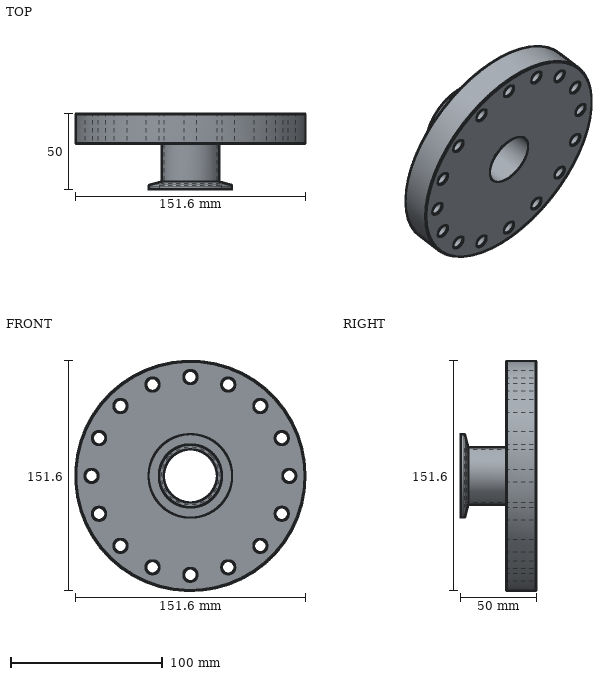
import cadquery as cq
import math

overall_length = 50.0
clamp_face_y = -overall_length / 2
bolt_flange_back_y = overall_length / 2

bolt_flange_diameter = 151.6
bolt_flange_thickness = 20.0
bolt_flange_edge_chamfer = 0.6
bolt_flange_front_y = bolt_flange_back_y - bolt_flange_thickness
bolt_count = 16
bolt_circle_diameter = 130.2
bolt_hole_diameter = 8.3
bolt_hole_chamfer = 0.5

tube_diameter = 38.0
bore_diameter = 34.9

clamp_diameter = 55.0
clamp_length = 5.2
clamp_cone_angle = 15.0
clamp_shoulder_radius = 1.2
clamp_back_y = clamp_face_y + clamp_length
recess_diameter = 41.1
recess_depth = 2.7
recess_mouth_chamfer = 0.3
lip_length = 1.0
recess_floor_y = clamp_face_y + recess_depth
tube_end_y = recess_floor_y + lip_length


def cylinder(diameter, start_y, end_y):
    """Solid cylinder on the Y axis between two Y positions."""
    plane = cq.Plane(origin=(0, start_y, 0), xDir=(1, 0, 0), normal=(0, 1, 0))
    return cq.Workplane(plane).circle(diameter / 2).extrude(end_y - start_y)


def turn(section):
    """Solid of revolution about the Y axis from a closed (radius, y) section."""
    return cq.Workplane("XY").polyline(section).close().revolve(360, (0, 0, 0), (0, 1, 0))


def make_bolt_hole_cutter(index):
    """Through hole on the bolt circle, chamfered at both ends."""
    hole_radius = bolt_hole_diameter / 2
    mouth_radius = hole_radius + bolt_hole_chamfer
    angle = 2 * math.pi * index / bolt_count
    center_x = bolt_circle_diameter / 2 * math.cos(angle)
    center_z = bolt_circle_diameter / 2 * math.sin(angle)
    section = [
        (0, bolt_flange_front_y),
        (mouth_radius, bolt_flange_front_y),
        (hole_radius, bolt_flange_front_y + bolt_hole_chamfer),
        (hole_radius, bolt_flange_back_y - bolt_hole_chamfer),
        (mouth_radius, bolt_flange_back_y),
        (0, bolt_flange_back_y),
    ]
    cutter = turn(section)
    return cutter.translate((center_x, 0, center_z))


def make_bolt_flange():
    """Thick disc with chamfered rims, a central bore and a ring of bolt holes."""
    flange = cylinder(bolt_flange_diameter, bolt_flange_front_y, bolt_flange_back_y)
    flange = flange.edges("%CIRCLE").chamfer(bolt_flange_edge_chamfer)
    flange = flange.cut(cylinder(bore_diameter, bolt_flange_front_y, bolt_flange_back_y))
    for index in range(bolt_count):
        flange = flange.cut(make_bolt_hole_cutter(index))
    return flange


def make_tube():
    """Plain tube from the bolted flange's front face to the lip in the clamp flange."""
    tube = cylinder(tube_diameter, tube_end_y, bolt_flange_front_y)
    return tube.cut(cylinder(bore_diameter, tube_end_y, bolt_flange_front_y))


def make_clamp_flange():
    """Conical-backed clamp flange with a front recess and a rear socket for the tube."""
    clamp_radius = clamp_diameter / 2
    recess_radius = recess_diameter / 2
    bore_radius = bore_diameter / 2
    tube_radius = tube_diameter / 2
    cone_height = (clamp_radius - tube_radius) * math.tan(math.radians(clamp_cone_angle))
    shoulder_y = clamp_back_y - cone_height
    section = [
        (recess_radius + recess_mouth_chamfer, clamp_face_y),
        (clamp_radius, clamp_face_y),
        (clamp_radius, shoulder_y),
        (tube_radius, clamp_back_y),
        (tube_radius, tube_end_y),
        (bore_radius, tube_end_y),
        (bore_radius, recess_floor_y),
        (recess_radius, recess_floor_y),
        (recess_radius, clamp_face_y + recess_mouth_chamfer),
    ]
    clamp = turn(section)
    shoulder_edge = cq.selectors.NearestToPointSelector((0, shoulder_y, 0))
    return clamp.edges(shoulder_edge).fillet(clamp_shoulder_radius)


bolt_flange = make_bolt_flange()
tube = make_tube()
clamp_flange = make_clamp_flange()

bodies = [bolt_flange, tube, clamp_flange]
result = cq.Compound.makeCompound([body.solids().val() for body in bodies])